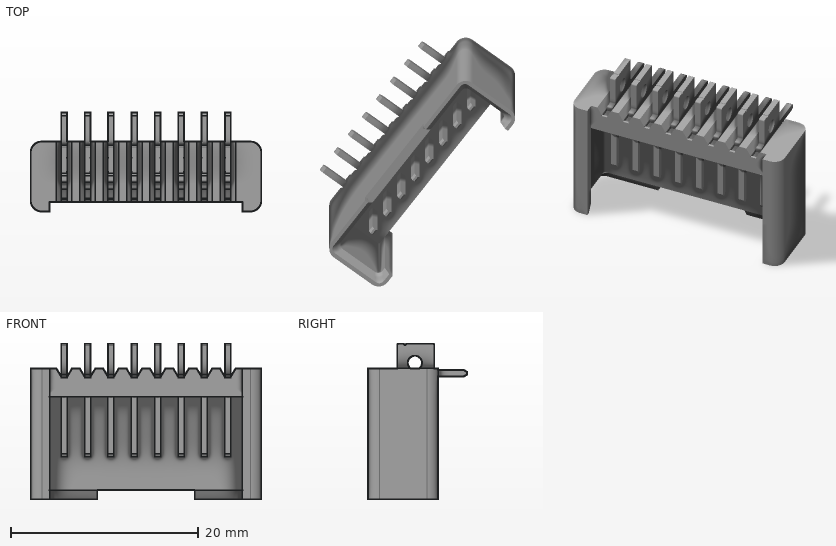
import cadquery as cq

WIDTH = 24.7
DEPTH = 7.5
HEIGHT = 14.0
CORNER_RADIUS = 1.2

OPENING_WIDTH = 20.6
LIP_THICKNESS = 1.0

CAVITY_WIDTH = 22.6
BACK_WALL = 1.0
CAVITY_TOP = 11.0
CAVITY_RADIUS = 0.17
FLARE_HEIGHT = 1.0
FLARE_STEP = 0.6
FLARE_RADIUS = 0.6
KEY_NOTCH_WIDTH = 10.4

PIN_COUNT = 8
PITCH = 2.5
PIN_WIDTH = 0.64

GROOVE_WIDTH = 1.66
GROOVE_SLOPE_DEPTH = 0.85
SLOT_DEPTH = 0.98
SLOT_RECESS_START = LIP_THICKNESS + 0.25
SLOT_RECESS_SLOPE_LENGTH = 0.19
SLOT_RECESS_DEPTH = 0.25

TAB_FRONT = 3.13
TAB_BACK = 7.1
TAB_TOP = 16.65
TAB_CORNER_RADIUS = 0.15
HOLE_RADIUS = 0.75
HOLE_Y = 5.02
HOLE_Z = 14.6
SCORE_Y = 3.97
SCORE_RADIUS = 0.12

FOOT_FRONT = 2.4
FOOT_TOP = HEIGHT - 0.68
FOOT_RADIUS = 0.15

TAIL_END = 10.6
TAIL_BOTTOM = 13.14
TAIL_TOP = 13.84
TAIL_TIP_LENGTH = 0.35
TAIL_TIP_STEP = 0.2

BLADE_FRONT = 3.42
BLADE_DEPTH = PIN_WIDTH
BLADE_BOTTOM = 4.54
BLADE_TIP_HEIGHT = 0.35
BLADE_TIP_STEP = 0.2

pin_positions = [(i - (PIN_COUNT - 1) / 2) * PITCH for i in range(PIN_COUNT)]


def box(width, y_min, y_max, z_min, z_max):
    """Box centred on x = 0 between the given y and z limits."""
    size = (width, y_max - y_min, z_max - z_min)
    return cq.Workplane("XY").box(*size, centered=(True, False, False)).translate((0, y_min, z_min))


def extrude_pin_profile(profile):
    """Give a YZ profile, closed here, the pin width, centred on x = 0."""
    return profile.close().extrude(PIN_WIDTH / 2, both=True)


def cavity_outline(z, growth, radius):
    """Cavity outline at height z with rounded corners, grown outwards on every side."""
    y_min = LIP_THICKNESS - growth
    y_max = DEPTH - BACK_WALL + growth
    outline = cq.Sketch().rect(CAVITY_WIDTH + 2 * growth, y_max - y_min)
    outline = outline.vertices().fillet(radius)
    return outline.moved(cq.Location(cq.Vector(0, (y_min + y_max) / 2, z)))


def make_cavity():
    """Straight cavity, its flared mouth and the key notch in the back wall."""
    wall_outline = cavity_outline(0, 0, CAVITY_RADIUS)
    straight = cq.Workplane("XY").placeSketch(wall_outline).extrude(CAVITY_TOP - FLARE_HEIGHT)
    straight = straight.translate((0, 0, FLARE_HEIGHT))
    mouth = cavity_outline(0, FLARE_STEP, FLARE_RADIUS)
    throat = cavity_outline(FLARE_HEIGHT, 0, FLARE_RADIUS)
    flare = cq.Workplane("XY").placeSketch(mouth, throat).loft()
    key_notch = box(KEY_NOTCH_WIDTH, DEPTH / 2, DEPTH, 0, FLARE_HEIGHT)
    return straight.union(flare).union(key_notch)


def make_groove():
    """V groove with a pin slot along its bottom and a deeper recess with a sloped front wall."""
    slope_end = HEIGHT - GROOVE_SLOPE_DEPTH
    slot_floor = HEIGHT - SLOT_DEPTH
    section = [
        (-GROOVE_WIDTH / 2, HEIGHT),
        (-PIN_WIDTH / 2, slope_end),
        (-PIN_WIDTH / 2, slot_floor),
        (PIN_WIDTH / 2, slot_floor),
        (PIN_WIDTH / 2, slope_end),
        (GROOVE_WIDTH / 2, HEIGHT),
    ]
    groove = cq.Workplane("XZ").polyline(section).close().extrude(-DEPTH)
    recess_floor = slot_floor - SLOT_RECESS_DEPTH
    recess_profile = cq.Workplane("YZ").polyline([
        (SLOT_RECESS_START, slot_floor),
        (SLOT_RECESS_START + SLOT_RECESS_SLOPE_LENGTH, recess_floor),
        (FOOT_FRONT, recess_floor),
        (FOOT_FRONT, slot_floor),
    ])
    return groove.union(extrude_pin_profile(recess_profile))


def make_housing():
    housing = box(WIDTH, 0, DEPTH, 0, HEIGHT).edges("|Z").fillet(CORNER_RADIUS)
    housing = housing.cut(box(OPENING_WIDTH, 0, LIP_THICKNESS, 0, HEIGHT))
    housing = housing.cut(make_cavity())
    groove = make_groove()
    for x in pin_positions:
        housing = housing.cut(groove.translate((x, 0, 0)))
    return housing


def make_upper_pin():
    """Foot, solder tab and tail, standing on the solid part of the header block."""
    base = (CAVITY_TOP + HEIGHT) / 2
    profile = (
        cq.Workplane("YZ")
        .moveTo(FOOT_FRONT, base)
        .lineTo(FOOT_FRONT, FOOT_TOP - FOOT_RADIUS)
        .radiusArc((FOOT_FRONT + FOOT_RADIUS, FOOT_TOP), FOOT_RADIUS)
        .lineTo(TAB_FRONT - FOOT_RADIUS, FOOT_TOP)
        .radiusArc((TAB_FRONT, FOOT_TOP + FOOT_RADIUS), -FOOT_RADIUS)
        .lineTo(TAB_FRONT, TAB_TOP - TAB_CORNER_RADIUS)
        .radiusArc((TAB_FRONT + TAB_CORNER_RADIUS, TAB_TOP), TAB_CORNER_RADIUS)
        .lineTo(SCORE_Y - SCORE_RADIUS, TAB_TOP)
        .radiusArc((SCORE_Y + SCORE_RADIUS, TAB_TOP), -SCORE_RADIUS)
        .lineTo(TAB_BACK - TAB_CORNER_RADIUS, TAB_TOP)
        .radiusArc((TAB_BACK, TAB_TOP - TAB_CORNER_RADIUS), TAB_CORNER_RADIUS)
        .lineTo(TAB_BACK, TAIL_TOP + FOOT_RADIUS)
        .radiusArc((TAB_BACK + FOOT_RADIUS, TAIL_TOP), -FOOT_RADIUS)
        .lineTo(TAIL_END - TAIL_TIP_LENGTH, TAIL_TOP)
        .lineTo(TAIL_END, TAIL_TOP - TAIL_TIP_STEP)
        .lineTo(TAIL_END, TAIL_BOTTOM + TAIL_TIP_STEP)
        .lineTo(TAIL_END - TAIL_TIP_LENGTH, TAIL_BOTTOM)
        .lineTo(DEPTH, TAIL_BOTTOM)
        .lineTo(DEPTH, base)
    )
    hole = cq.Workplane("YZ").center(HOLE_Y, HOLE_Z).circle(HOLE_RADIUS).extrude(PIN_WIDTH, both=True)
    return extrude_pin_profile(profile).cut(hole)


def make_blade():
    """Contact blade with a tip tapered at its front and back."""
    back = BLADE_FRONT + BLADE_DEPTH
    tip_top = BLADE_BOTTOM + BLADE_TIP_HEIGHT
    profile = cq.Workplane("YZ").polyline([
        (BLADE_FRONT, CAVITY_TOP),
        (BLADE_FRONT, tip_top),
        (BLADE_FRONT + BLADE_TIP_STEP, BLADE_BOTTOM),
        (back - BLADE_TIP_STEP, BLADE_BOTTOM),
        (back, tip_top),
        (back, CAVITY_TOP),
    ])
    return extrude_pin_profile(profile)


result = make_housing()
upper_pin = make_upper_pin()
blade = make_blade()
for x in pin_positions:
    result = result.union(upper_pin.translate((x, 0, 0)))
    result = result.union(blade.translate((x, 0, 0)))